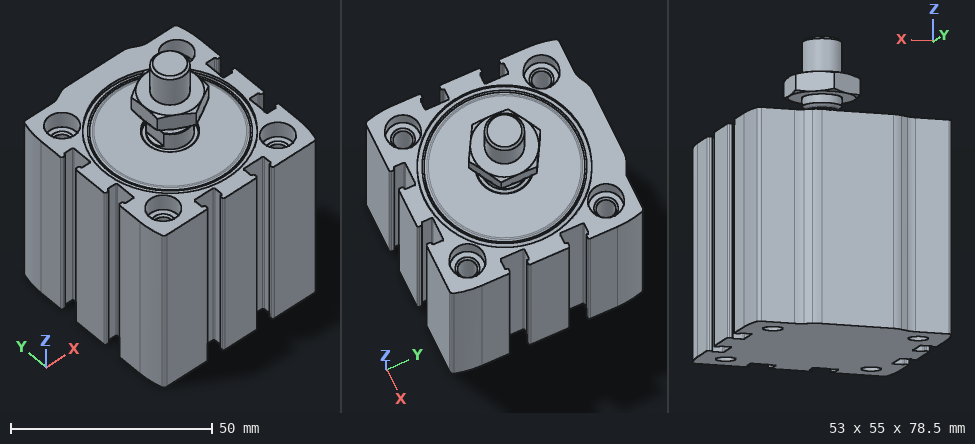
import cadquery as cq
import math

total_height = 78.5
housing_height = 54.5
housing_width = 53.0
half_width = housing_width / 2
side_flat_half = 18.6
side_inset = 1.25
corner_radius = 1.0

pad_height = 2.05
pad_top_half = 10.5
pad_foot_half = 14.6
pad_blend_radius = 5.0

slot_offset = 8.2
slot_mouth = 5.0
slot_pocket = 6.6
slot_lip = 1.4
slot_depth = 4.5
slot_mouth_round = 0.5
slot_round = 0.3

hole_spacing = 38.0
hole_diameter = 4.95
counterbore_diameter = 9.0
counterbore_depth = 5.2
countersink_diameter = 6.05

groove_outer_radius = 43.4 / 2
groove_depth = 0.95
groove_inner_radius = 20.5
groove_inner_depth = 0.4
cover_radius = 40.0 / 2
cover_step_depth = 0.55
cover_bevel_radius = 19.4
cover_bevel_depth = 0.2
cover_face_radius = 19.0
cover_recess = 0.15

gland_radius = 14.1 / 2
gland_chamfer = 0.2
gland_depth = 1.1
gland_inner_depth = 0.55

rod_diameter = 12.0
rod_radius = rod_diameter / 2
rod_engagement = 15.7
shoulder_top = 59.4
flats_width = 10.0
flats_ramp_top = 0.4
flats_ramp_angle = 30.0
shoulder_chamfer = 0.15
neck_base_radius = 9.0 / 2
neck_radius = 8.1 / 2
neck_low = 60.2
neck_high = 60.5
thread_radius = 10.0 / 2
thread_end_radius = 8.6 / 2
thread_bevel = thread_radius - thread_end_radius
thread_start = 61.55

nut_width = 17.0
nut_height = 5.0
nut_base = 63.75
nut_corner_drop = 0.5

rod_base = housing_height - rod_engagement


def revolve_profile(points):
    """Solid of revolution about Z from (radius, height) points."""
    return cq.Workplane("XZ").polyline(points).close().revolve(360, (0, 0), (0, 1))


def round_vertical_edges(body, places, radius):
    for x, y in places:
        nearest = cq.selectors.NearestToPointSelector((x, y, housing_height / 2))
        body = body.edges("|Z").edges(nearest).fillet(radius)
    return body


def make_block():
    """Extruded housing outline with bowed side ends and the raised pad."""
    corner_x = half_width - side_inset
    curve_length = half_width - side_flat_half
    curve_radius = (curve_length**2 + side_inset**2) / (2 * side_inset)
    half_angle = math.atan2(side_inset, curve_length)
    middle_x = half_width - curve_radius * (1 - math.cos(half_angle))
    middle_y = side_flat_half + curve_radius * math.sin(half_angle)
    pad_y = half_width + pad_height

    block = (
        cq.Workplane("XY")
        .moveTo(0, -half_width)
        .lineTo(corner_x, -half_width)
        .threePointArc((middle_x, -middle_y), (half_width, -side_flat_half))
        .lineTo(half_width, side_flat_half)
        .threePointArc((middle_x, middle_y), (corner_x, half_width))
        .lineTo(pad_foot_half, half_width)
        .lineTo(pad_top_half, pad_y)
        .lineTo(0, pad_y)
        .mirrorY()
        .extrude(housing_height)
    )
    corners = [(sx * corner_x, sy * half_width) for sx in (-1, 1) for sy in (-1, 1)]
    pad_feet = [(side * pad_foot_half, half_width) for side in (-1, 1)]
    pad_shoulders = [(side * pad_top_half, pad_y) for side in (-1, 1)]
    block = round_vertical_edges(block, corners, corner_radius)
    return round_vertical_edges(block, pad_feet + pad_shoulders, pad_blend_radius)


def make_slot_cutter():
    """T-slot cutter whose mouth opens toward -Y on the -Y wall, centred on X = 0."""
    mouth = slot_mouth / 2
    pocket = slot_pocket / 2
    m = slot_mouth_round
    r = slot_round
    corner_gap = 1 - math.sqrt(0.5)
    m_gap = m * corner_gap
    r_gap = r * corner_gap
    return (
        cq.Workplane("XY")
        .moveTo(0, 0)
        .lineTo(mouth + m, 0)
        .threePointArc((mouth + m_gap, m_gap), (mouth, m))
        .lineTo(mouth, slot_lip - r)
        .threePointArc((mouth + r_gap, slot_lip - r_gap), (mouth + r, slot_lip))
        .lineTo(pocket - r, slot_lip)
        .threePointArc((pocket - r_gap, slot_lip + r_gap), (pocket, slot_lip + r))
        .lineTo(pocket, slot_depth - r)
        .threePointArc((pocket - r_gap, slot_depth - r_gap), (pocket - r, slot_depth))
        .lineTo(0, slot_depth)
        .mirrorY()
        .extrude(housing_height)
        .translate((0, -half_width, 0))
    )


def make_hole_cutter():
    """Counterbored through hole with a countersink in the counterbore floor."""
    floor = housing_height - counterbore_depth
    hole = hole_diameter / 2
    sink = countersink_diameter / 2
    bore = counterbore_diameter / 2
    return revolve_profile([
        (0, 0),
        (hole, 0),
        (hole, floor - (sink - hole)),
        (sink, floor),
        (bore, floor),
        (bore, housing_height),
        (0, housing_height),
    ])


def make_cover_cutter():
    """Material removed from the top face: ring groove, cover edge, gland recess and rod bore."""
    top = housing_height
    return revolve_profile([
        (0, top),
        (groove_outer_radius, top),
        (groove_outer_radius, top - groove_depth),
        (groove_inner_radius, top - groove_inner_depth),
        (cover_radius, top - cover_step_depth),
        (cover_bevel_radius, top - cover_bevel_depth),
        (cover_face_radius, top - cover_recess),
        (gland_radius + gland_chamfer, top - cover_recess),
        (gland_radius, top - cover_recess - gland_chamfer),
        (gland_radius, top - gland_depth),
        (rod_radius, top - gland_inner_depth),
        (rod_radius, rod_base),
        (0, rod_base),
    ])


def make_housing():
    housing = make_block()
    slot = make_slot_cutter()
    for wall_angle in (0, 90, -90):
        for side in (-1, 1):
            placed = slot.translate((side * slot_offset, 0, 0))
            housing = housing.cut(placed.rotate((0, 0, 0), (0, 0, 1), wall_angle))
    hole = make_hole_cutter()
    for sx in (-1, 1):
        for sy in (-1, 1):
            housing = housing.cut(hole.translate((sx * hole_spacing / 2, sy * hole_spacing / 2, 0)))
    return housing.cut(make_cover_cutter())


def make_rod():
    rod = revolve_profile([
        (0, rod_base),
        (rod_radius, rod_base),
        (rod_radius, shoulder_top - shoulder_chamfer),
        (rod_radius - shoulder_chamfer, shoulder_top),
        (neck_base_radius, shoulder_top),
        (neck_radius, neck_low),
        (neck_radius, neck_high),
        (thread_end_radius, thread_start - thread_bevel),
        (thread_radius, thread_start),
        (thread_radius, total_height - thread_bevel),
        (thread_end_radius, total_height),
        (0, total_height),
    ])
    flat = flats_width / 2
    ramp_top = housing_height + flats_ramp_top
    ramp_foot = ramp_top - (rod_radius - flat) * math.tan(math.radians(flats_ramp_angle))
    flat_cutter = (
        cq.Workplane("XZ")
        .polyline([
            (flat, shoulder_top),
            (flat, ramp_top),
            (rod_radius, ramp_foot),
            (rod_diameter, ramp_foot),
            (rod_diameter, shoulder_top),
        ])
        .close()
        .extrude(rod_radius, both=True)
    )
    return rod.cut(flat_cutter).cut(flat_cutter.mirror("YZ"))


def make_nut():
    circumradius = nut_width / math.sqrt(3)
    blank = (
        cq.Workplane("XY")
        .polygon(6, 2 * circumradius)
        .extrude(nut_height)
        .rotate((0, 0, 0), (0, 0, 1), 30)
    )
    land = nut_width / 2
    envelope = revolve_profile([
        (0, 0),
        (land, 0),
        (circumradius, nut_corner_drop),
        (circumradius, nut_height - nut_corner_drop),
        (land, nut_height),
        (0, nut_height),
    ])
    bore = cq.Workplane("XY").circle(thread_radius).extrude(nut_height)
    return blank.intersect(envelope).cut(bore).translate((0, 0, nut_base))


housing = make_housing()
rod = make_rod()
nut = make_nut()

result = cq.Compound.makeCompound([housing.val(), rod.val(), nut.val()])